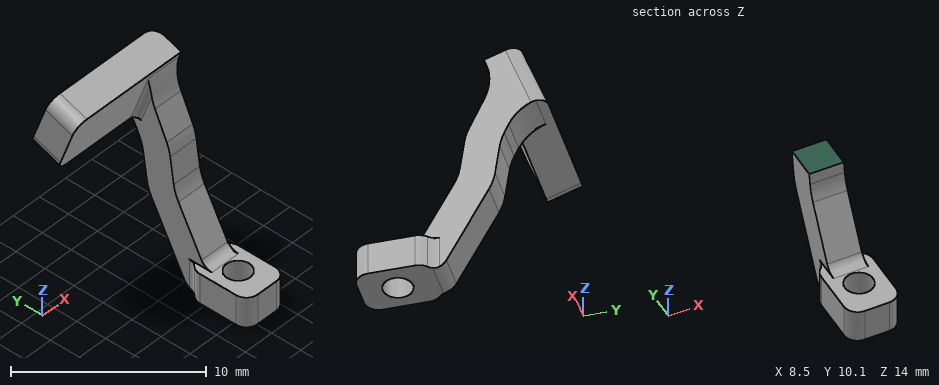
import cadquery as cq
import math

foot_width = 3.0
foot_thickness = 2.0
foot_front_y = -2.0
foot_back_y = 2.1
hole_diameter = 1.6

arm_width = 2.0
arm_thickness = 2.0
middle_thickness = 1.95
lower_angle = 28.0
middle_angle = 8.0
upper_angle = 24.5
arm_front_y = 1.40
lower_bend_z = 5.88
upper_bend_z = 8.56
bend_radius = 3.0
arm_front_blend = 3.0
arm_back_blend = 2.5
arm_side_blend = 0.4
root_depth = 1.5

slab_length = 8.0
slab_height = 4.0
slab_thickness = 2.0
slab_tilt = 20.0
slab_back_y = 8.05
overall_height = 14.0
waste_overhang = 0.1

corner_radius = 0.8

arm_right_x = arm_width / 2
tilt = math.radians(slab_tilt)
slab_origin_z = overall_height - slab_height * math.cos(tilt)


def rounded_outline(corners):
    """Closed YZ outline from (point, radius) corners, each rounded by a tangent arc."""
    outline = None
    count = len(corners)
    for index, (point, radius) in enumerate(corners):
        corner = cq.Vector(*point)
        to_previous = (cq.Vector(*corners[index - 1][0]) - corner).normalized()
        to_next = (cq.Vector(*corners[(index + 1) % count][0]) - corner).normalized()
        half_angle = to_previous.getAngle(to_next) / 2
        setback = radius / math.tan(half_angle)
        bisector = (to_previous + to_next).normalized()
        arc_start = corner + to_previous * setback
        arc_middle = corner + bisector * (radius / math.sin(half_angle) - radius)
        arc_end = corner + to_next * setback
        if outline is None:
            outline = cq.Workplane("YZ").moveTo(arc_start.x, arc_start.y)
        else:
            outline = outline.lineTo(arc_start.x, arc_start.y)
        if radius > 0:
            outline = outline.threePointArc((arc_middle.x, arc_middle.y), (arc_end.x, arc_end.y))
    return outline.close()


def lean_point(start, angle, z):
    """Point at height z on the line through start that leans by angle from Z toward +Y."""
    return (start[0] + (z - start[1]) * math.tan(math.radians(angle)), z)


def behind(point, angle, thickness):
    """Point on the back face of a leaning segment, level with a point on its front face."""
    return (point[0] + thickness / math.cos(math.radians(angle)), point[1])


def slab_point(depth, height):
    """YZ point of the slab, from depth behind its front face and height along its length."""
    offset = depth - slab_thickness
    y = slab_back_y + offset * math.cos(tilt) - height * math.sin(tilt)
    z = slab_origin_z + offset * math.sin(tilt) + height * math.cos(tilt)
    return (y, z)


def meet(start, angle, line_point, line_angle):
    """Intersection of two lines, each leaning by its angle from Z toward +Y."""
    slope = math.tan(math.radians(angle))
    line_slope = math.tan(math.radians(line_angle))
    start_y_at_zero = start[0] - slope * start[1]
    line_y_at_zero = line_point[0] - line_slope * line_point[1]
    z = (line_y_at_zero - start_y_at_zero) / (slope - line_slope)
    return (start_y_at_zero + slope * z, z)


def arm_outline():
    front_base = (arm_front_y, foot_thickness)
    front_lower_bend = lean_point(front_base, lower_angle, lower_bend_z)
    front_upper_bend = lean_point(front_lower_bend, middle_angle, upper_bend_z)
    slab_front_top = slab_point(0, slab_height)
    front_top = meet(front_upper_bend, upper_angle, slab_front_top, -slab_tilt)

    lower_back = behind(front_lower_bend, lower_angle, arm_thickness)
    middle_back = behind(front_lower_bend, middle_angle, middle_thickness)
    upper_back = behind(front_upper_bend, upper_angle, arm_thickness)
    back_lower_bend = meet(lower_back, lower_angle, middle_back, middle_angle)
    back_upper_bend = meet(middle_back, middle_angle, upper_back, upper_angle)
    heel = lean_point(lower_back, lower_angle, 0)
    slab_root = slab_point(root_depth, 0)
    back_top = meet(upper_back, upper_angle, slab_root, 90 - slab_tilt)

    return rounded_outline([
        ((0, 0), 0),
        (heel, corner_radius),
        (back_lower_bend, bend_radius),
        (back_upper_bend, bend_radius),
        (back_top, arm_back_blend),
        (slab_root, 0),
        (slab_front_top, 0),
        (front_top, arm_front_blend),
        (front_upper_bend, bend_radius),
        (front_lower_bend, bend_radius),
        (front_base, corner_radius),
        ((0, foot_thickness), 0),
    ])


def make_arm(width, right_x):
    """Bar with the arm's side outline, of the given width and ending at right_x."""
    return arm_outline().extrude(width).translate((right_x - width, 0, 0))


def make_foot():
    foot_length = foot_back_y - foot_front_y
    pad = cq.Workplane("XY").box(foot_width, foot_length, foot_thickness, centered=(True, False, False))
    return pad.translate((0, foot_front_y, 0)).edges("|Z").fillet(corner_radius)


def make_foot_blend(side):
    """Concave fillet between a back corner of the foot and one side of the arm, trimmed to the heel."""
    round_x = foot_width / 2 - corner_radius
    round_y = foot_back_y - corner_radius
    blend_x = arm_right_x + corner_radius
    blend_y = round_y + math.sqrt((2 * corner_radius) ** 2 - (blend_x - round_x) ** 2)
    touch = ((round_x + blend_x) / 2, (round_y + blend_y) / 2)
    profile = (
        cq.Workplane("XY")
        .moveTo(side * arm_right_x, blend_y)
        .radiusArc((side * touch[0], touch[1]), -side * corner_radius)
        .lineTo(side * round_x, round_y)
        .lineTo(side * arm_right_x, round_y)
        .close()
    )
    return profile.extrude(foot_thickness).intersect(make_arm(foot_width, foot_width / 2))


def place_on_slab(body):
    """Move a body from the slab frame (origin on its lower back edge) to the part."""
    return body.rotate((0, 0, 0), (1, 0, 0), slab_tilt).translate((0, slab_back_y, slab_origin_z))


def make_slab():
    plate = cq.Workplane("XY").box(slab_length, slab_thickness, slab_height, centered=False)
    plate = plate.translate((arm_right_x - slab_length, -slab_thickness, 0))
    plate = plate.edges("|Y and <X").fillet(corner_radius)
    plate = plate.edges("|Z and >X and >Y").fillet(corner_radius)
    return place_on_slab(plate)


def make_corner_waste():
    """Material outside the rounded right back edge of the slab, where the arm root would stick out."""
    waste = (
        cq.Workplane("XY", origin=(0, 0, -waste_overhang))
        .moveTo(arm_right_x - corner_radius, 0)
        .radiusArc((arm_right_x, -corner_radius), corner_radius)
        .lineTo(arm_right_x, 0)
        .close()
        .extrude(slab_height + waste_overhang)
    )
    return place_on_slab(waste)


def make_side_blend():
    """Concave fillet along the slab face beside the arm, trimmed to the arm's side outline."""
    strip = (
        cq.Workplane("XY")
        .moveTo(-arm_right_x, -slab_thickness)
        .lineTo(-arm_right_x - arm_side_blend, -slab_thickness)
        .radiusArc((-arm_right_x, -slab_thickness - arm_side_blend), arm_side_blend)
        .close()
        .extrude(slab_height)
    )
    return place_on_slab(strip).intersect(make_arm(arm_width + arm_side_blend, arm_right_x))


arm = make_arm(arm_width, arm_right_x).cut(make_corner_waste())
body = make_foot().union(arm).union(make_slab()).union(make_side_blend())
for side in (-1, 1):
    body = body.union(make_foot_blend(side))

hole = cq.Workplane("XY").circle(hole_diameter / 2).extrude(foot_thickness)
result = body.cut(hole)